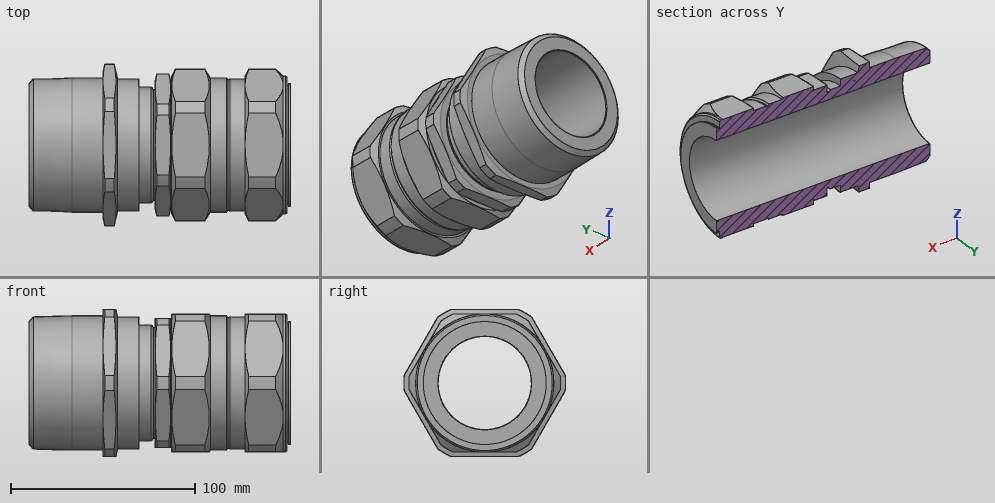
import cadquery as cq
import math


LENGTH = 142.2

NOSE_RADIUS = 36.0
NOSE_CHAMFER_LENGTH = 2.4
NOSE_CHAMFER_DEPTH = 2.7
TAPER_END = 23.3
BARREL_RADIUS = 36.5
SHOULDER_RADIUS = 36.0
SHOULDER_END = 59.7
NECK_RADIUS = 31.5
NECK_END = 67.7
NECK_CHAMFER = 1.3
GROOVE_X = 108.1
GROOVE_RADIUS = 35.4
GROOVE_LEFT_LENGTH = 0.7
GROOVE_RIGHT_LENGTH = 1.3
SLEEVE_RADIUS = 36.0
CAP_RADIUS = 37.5
CAP_END = 140.4
CAP_CHAMFER = 0.9
CAP_GROOVE_WIDTH = 0.5
CAP_GROOVE_RADIUS = 32.7
END_RING_RADIUS = 33.4

BORE_RADIUS = 25.3
BORE_CHAMFER = 0.4

FLANGE_START = 40.2
FLANGE_END = 48.2
FLANGE_FLATS = 80.0
FLANGE_CORNERS = 88.0
FLANGE_FACE_RADIUS = 39.7
FLANGE_LEFT_BEVEL = 1.0
FLANGE_RIGHT_BEVEL = 1.8

LOCK_NUT_START = 68.5
LOCK_NUT_END = 77.1
LOCK_NUT_FLATS = 70.2
LOCK_NUT_CORNERS = 77.4
LOCK_NUT_FACE_RADIUS = 34.7
LOCK_NUT_BEVEL = 1.0

NUT_FLATS = 74.8
NUT_CORNERS = 82.5
NUT_FACE_RADIUS = 37.1
NUT_LEFT_BEVEL = 2.1
BODY_NUT_START = 77.5
BODY_NUT_END = 98.5
BODY_NUT_RIGHT_BEVEL = 3.0
CAP_NUT_START = 117.3
CAP_NUT_END = 138.1
CAP_NUT_RIGHT_BEVEL = 4.0


def revolve_about_x(points):
    """Revolve an (x, radius) outline, closed along the axis, into a solid."""
    return cq.Workplane("XZ").polyline(points).close().revolve(360, (0, 0, 0), (1, 0, 0))


def make_hexagon(start, end, flats, corners, left_radius, left_bevel, right_radius, right_bevel):
    """Hexagon with flats facing +Z and -Z, rounded at the corners and beveled to a cone at each end."""
    prism = (
        cq.Workplane("YZ", origin=(start, 0, 0))
        .polygon(6, flats / math.cos(math.pi / 6))
        .extrude(end - start)
    )
    envelope = revolve_about_x([
        (start, 0),
        (start, left_radius),
        (start + left_bevel, corners / 2),
        (end - right_bevel, corners / 2),
        (end, right_radius),
        (end, 0),
    ])
    return prism.intersect(envelope)


def make_body():
    """Stepped round body running the full length."""
    return revolve_about_x([
        (0, 0),
        (0, NOSE_RADIUS - NOSE_CHAMFER_DEPTH),
        (NOSE_CHAMFER_LENGTH, NOSE_RADIUS),
        (TAPER_END, BARREL_RADIUS),
        (FLANGE_START, BARREL_RADIUS),
        (FLANGE_START, SHOULDER_RADIUS),
        (SHOULDER_END, SHOULDER_RADIUS),
        (SHOULDER_END, NECK_RADIUS),
        (NECK_END - NECK_CHAMFER, NECK_RADIUS),
        (NECK_END, NECK_RADIUS - NECK_CHAMFER),
        (LOCK_NUT_END, NECK_RADIUS - NECK_CHAMFER),
        (LOCK_NUT_END, LOCK_NUT_FACE_RADIUS),
        (BODY_NUT_START, LOCK_NUT_FACE_RADIUS),
        (BODY_NUT_START, BARREL_RADIUS),
        (GROOVE_X - GROOVE_LEFT_LENGTH, BARREL_RADIUS),
        (GROOVE_X, GROOVE_RADIUS),
        (GROOVE_X + GROOVE_RIGHT_LENGTH, SLEEVE_RADIUS),
        (CAP_NUT_END, SLEEVE_RADIUS),
        (CAP_NUT_END, CAP_RADIUS),
        (CAP_END - CAP_CHAMFER, CAP_RADIUS),
        (CAP_END, CAP_RADIUS - CAP_CHAMFER),
        (CAP_END, CAP_GROOVE_RADIUS),
        (CAP_END + CAP_GROOVE_WIDTH, CAP_GROOVE_RADIUS),
        (CAP_END + CAP_GROOVE_WIDTH, END_RING_RADIUS),
        (LENGTH, END_RING_RADIUS),
        (LENGTH, 0),
    ])


def make_bore():
    """Through bore with a small chamfer at the open end."""
    return revolve_about_x([
        (0, 0),
        (0, BORE_RADIUS + BORE_CHAMFER),
        (BORE_CHAMFER, BORE_RADIUS),
        (LENGTH, BORE_RADIUS),
        (LENGTH, 0),
    ])


flange = make_hexagon(
    FLANGE_START, FLANGE_END, FLANGE_FLATS, FLANGE_CORNERS,
    FLANGE_FACE_RADIUS, FLANGE_LEFT_BEVEL, SHOULDER_RADIUS, FLANGE_RIGHT_BEVEL,
)
lock_nut = make_hexagon(
    LOCK_NUT_START, LOCK_NUT_END, LOCK_NUT_FLATS, LOCK_NUT_CORNERS,
    LOCK_NUT_FACE_RADIUS, LOCK_NUT_BEVEL, LOCK_NUT_FACE_RADIUS, LOCK_NUT_BEVEL,
)
body_nut = make_hexagon(
    BODY_NUT_START, BODY_NUT_END, NUT_FLATS, NUT_CORNERS,
    NUT_FACE_RADIUS, NUT_LEFT_BEVEL, BARREL_RADIUS, BODY_NUT_RIGHT_BEVEL,
)
cap_nut = make_hexagon(
    CAP_NUT_START, CAP_NUT_END, NUT_FLATS, NUT_CORNERS,
    NUT_FACE_RADIUS, NUT_LEFT_BEVEL, CAP_RADIUS, CAP_NUT_RIGHT_BEVEL,
)

gland = make_body()
for hexagon in (flange, lock_nut, body_nut, cap_nut):
    gland = gland.union(hexagon)

result = gland.cut(make_bore())